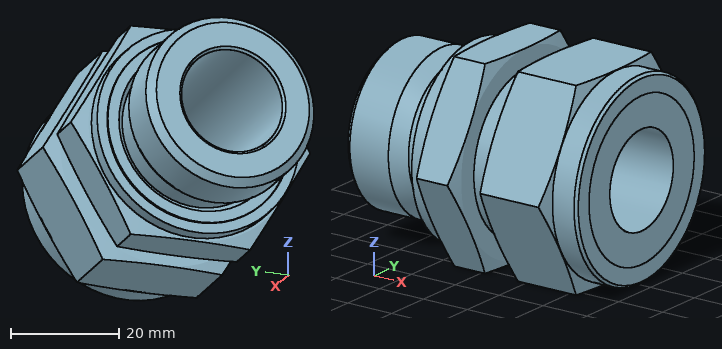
import cadquery as cq
import math

total_length = 56.0
thread_end = 10.3
neck_start = 13.55
seal_face = 17.6
flange_face = 18.05
stud_hex_start = 21.0
stud_hex_end = 29.75
nut_start = 35.5
nut_hex_end = 50.5

hex_sides = 6
across_flats = 41.0
flat_radius = across_flats / 2
corner_radius = flat_radius / math.cos(math.pi / hex_sides)
hex_chamfer_angle = 15.0

thread_radius = 16.65
neck_radius = 14.8
seal_radius = 18.0
flange_radius = 19.95
spigot_radius = 16.5
collar_radius = 20.45
bore_radius = 9.95

recess_radius = 15.8
recess_floor = seal_face + recess_radius - neck_radius

thread_chamfer = 1.5
bore_chamfer = 0.5
collar_chamfer = 0.55


def cylinder(start, end, radius):
    """Solid cylinder about the X axis between two stations."""
    return cq.Workplane("YZ").workplane(offset=start).circle(radius).extrude(end - start)


def revolve_about_x(profile):
    """Solid of revolution of a closed (x, radius) profile about the X axis."""
    return cq.Workplane("XY").polyline(profile).close().revolve(360, (0, 0, 0), (1, 0, 0))


def chamfered_hexagon(start, end):
    """Hexagonal prism along X with the corners turned down at both ends."""
    prism = cq.Workplane("YZ").workplane(offset=start).polygon(hex_sides, 2 * corner_radius).extrude(end - start)
    corner_cut = (corner_radius - flat_radius) * math.tan(math.radians(hex_chamfer_angle))
    turned_envelope = revolve_about_x([
        (start, 0),
        (start, flat_radius),
        (start + corner_cut, corner_radius),
        (end - corner_cut, corner_radius),
        (end, flat_radius),
        (end, 0),
    ])
    return prism.intersect(turned_envelope)


def make_stud():
    """Threaded stud with a recessed sealing ring, flange, hexagon and spigot, bored through."""
    threaded_end = revolve_about_x([
        (0, 0),
        (0, thread_radius - thread_chamfer),
        (thread_chamfer, thread_radius),
        (thread_end, thread_radius),
        (neck_start, neck_radius),
        (recess_floor, neck_radius),
        (seal_face, recess_radius),
        (seal_face, seal_radius),
        (flange_face, seal_radius),
        (flange_face, flange_radius),
        (stud_hex_start, flange_radius),
        (stud_hex_start, 0),
    ])
    hexagon = chamfered_hexagon(stud_hex_start, stud_hex_end)
    spigot = cylinder(stud_hex_end, total_length, spigot_radius)
    bore = revolve_about_x([
        (0, 0),
        (0, bore_radius + bore_chamfer),
        (bore_chamfer, bore_radius),
        (total_length, bore_radius),
        (total_length, 0),
    ])
    return threaded_end.union(hexagon).union(spigot).cut(bore)


def make_nut():
    """Hexagon nut with a round collar, bored to sit on the stud's spigot."""
    hexagon = chamfered_hexagon(nut_start, nut_hex_end)
    collar = cylinder(nut_hex_end, total_length, collar_radius).faces(">X").chamfer(collar_chamfer)
    spigot_hole = cylinder(nut_start, total_length, spigot_radius)
    return hexagon.union(collar).cut(spigot_hole)


stud = make_stud()
nut = make_nut()

result = cq.Compound.makeCompound([stud.val(), nut.val()])